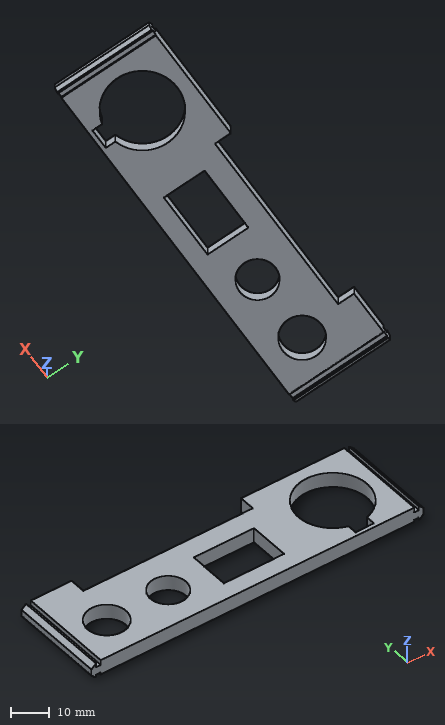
import cadquery as cq

length = 107.6
width = 30.0
thickness = 4.8

rail_reach = 3.0
lip_depth = 1.5
lip_top = 4.5
neck_bottom = 0.6
neck_top = 3.2
lip_face_bottom = 1.1
lip_face_top = 3.2
lip_foot_width = 0.4

notch_left = -37.5
notch_right = 17.3
notch_depth = 5.1

opening_line_y = 11.9
round_holes = [(-39.8, 12.4), (-19.9, 11.4)]
window_center_x = 3.0
window_length = 19.5
window_width = 12.9

keyed_hole_x = 35.7
keyed_hole_y = width / 2
keyed_hole_diameter = 22.2
key_width = 5.9
key_front_y = 1.3


def end_profile():
    """Cross-section of the plate and both rails in the XZ plane."""
    end = length / 2
    body = end - rail_reach
    lip = end - lip_depth
    right_side = [
        (body, 0),
        (body, neck_bottom),
        (lip, neck_bottom),
        (lip, 0),
        (lip + lip_foot_width, 0),
        (end, lip_face_bottom),
        (end, lip_face_top),
        (lip, lip_top),
        (lip, neck_top),
        (body, neck_top),
        (body, thickness),
    ]
    left_side = [(-x, z) for x, z in reversed(right_side)]
    return right_side + left_side


def through_box(left, right, front, back):
    """Rectangular cutter spanning the full plate thickness."""
    return cq.Workplane("XY").box(
        right - left, back - front, thickness, centered=False
    ).translate((left, front, 0))


def through_hole(x, y, diameter):
    """Round cutter spanning the full plate thickness."""
    return cq.Workplane("XY").center(x, y).circle(diameter / 2).extrude(thickness)


result = cq.Workplane("XZ").polyline(end_profile()).close().extrude(-width)

result = result.cut(through_box(notch_left, notch_right, width - notch_depth, width))

for hole_x, hole_diameter in round_holes:
    result = result.cut(through_hole(hole_x, opening_line_y, hole_diameter))

result = result.cut(through_box(
    window_center_x - window_length / 2,
    window_center_x + window_length / 2,
    opening_line_y - window_width / 2,
    opening_line_y + window_width / 2,
))

result = result.cut(through_hole(keyed_hole_x, keyed_hole_y, keyed_hole_diameter))
result = result.cut(through_box(
    keyed_hole_x - key_width / 2,
    keyed_hole_x + key_width / 2,
    key_front_y,
    keyed_hole_y,
))